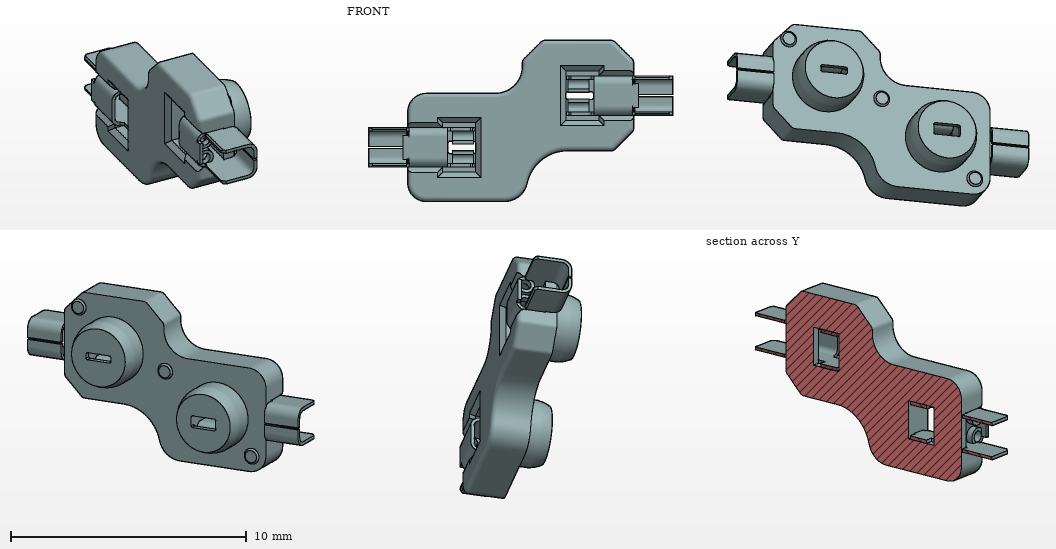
import cadquery as cq
import math


pole_x = 2.5
pole_z = 1.1

body_end_x = 4.8
body_depth = 1.72
front_fillet = 0.2

left_bottom_z = -3.4
left_top_z = 1.2
left_corner_radius = 0.8
left_turn_x = -0.7
left_turn_radius = 1.0

right_bottom_z = -1.25
right_top_z = 3.45
right_side_x = 0.06
right_chamfer = 0.87
right_edge_fillet = 0.25

upper_neck_radius = 1.13
lower_neck_x = 1.97

plug_radius = 1.45
plug_end_y = 3.055
plug_nose_length = 0.52
plug_nose_inset = 0.17
plug_nose_bulge = 0.03
plug_cap = 0.25

bump_radius = 0.35
bump_height = 0.08
bump_slope = 45
bump_positions = [(-4.12, -2.7), (0.0, 0.49), (4.12, 2.76)]

channel_depth = 1.21
channel_overrun = 1.0
cavity_end_x = -1.91
pocket_start_x = -3.31
pocket_half_width = 1.05
mouth_chamfer = 0.22
bore_start_x = -3.26
aperture_start_x = -3.09
aperture_chamfer = 0.06
left_aperture_half_height = 0.26
right_aperture_half_height = 0.16

sheet = 0.15
contact_half_width = 0.84
contact_front_y = -0.035

barrel_start_x = -6.45
barrel_end_x = -4.84
barrel_front_y = 0.3
barrel_back_y = 1.95
barrel_radius = 0.45
barrel_seam = 0.08
barrel_tip_chamfer = 0.16
barrel_edge_chamfer = 0.07

crimp_radius = 0.39
crimp_start_x = -4.74
crimp_end_x = -3.1
curl_length = 0.3
tongue_start_x = -5.0
tongue_half_width = 0.51

wall_step = 0.13
wall_end_x = -1.94
wall_end_chamfer = 0.1
wall_end_land = 0.1

leaf_start_x = -2.9
leaf_end_x = -2.0
leaf_width = 0.7
leaf_bend_radius = 0.349
leaf_tip_y = 1.9
leaf_bottom_y = 2.7

crimp_center_y = contact_front_y + crimp_radius
crimp_center_z = contact_half_width - crimp_radius
wall_inner_z = contact_half_width - sheet


def block(x_limits, y_limits, z_limits):
    """Box given by its limits along the three axes."""
    size = [high - low for low, high in (x_limits, y_limits, z_limits)]
    corner = (x_limits[0], y_limits[0], z_limits[0])
    return cq.Workplane("XY").box(*size, centered=False).translate(corner)


def to_left_pole(shape):
    return shape.translate((0, 0, -pole_z))


def to_right_pole(shape):
    return shape.rotate((0, 0, 0), (0, 1, 0), 180).translate((0, 0, pole_z))


def both_sides(half):
    """Join a shape with its mirror image across the pole's middle plane."""
    return half.union(half.mirror("XY"))


def left_block():
    """Left half of the outline: rounded block that sweeps into the right half through two necks."""
    turn_z = left_bottom_z + left_turn_radius
    neck_run = lower_neck_x - left_turn_x
    neck_rise = right_bottom_z - turn_z
    neck_radius = (neck_run**2 + neck_rise**2 - left_turn_radius**2) / (2 * (left_turn_radius + neck_rise))
    tangent_angle = math.atan2(neck_rise - neck_radius, neck_run)
    tangent_point = (
        left_turn_x + left_turn_radius * math.cos(tangent_angle),
        turn_z + left_turn_radius * math.sin(tangent_angle),
    )
    left_x = -body_end_x
    upper_neck_x = right_side_x - upper_neck_radius
    return (
        cq.Workplane("XZ")
        .moveTo(left_x + left_corner_radius, left_bottom_z)
        .lineTo(left_turn_x, left_bottom_z)
        .tangentArcPoint(tangent_point, relative=False)
        .tangentArcPoint((lower_neck_x, right_bottom_z), relative=False)
        .lineTo(lower_neck_x, left_top_z + upper_neck_radius)
        .lineTo(right_side_x, left_top_z + upper_neck_radius)
        .radiusArc((upper_neck_x, left_top_z), upper_neck_radius)
        .lineTo(left_x + left_corner_radius, left_top_z)
        .tangentArcPoint((left_x, left_top_z - left_corner_radius), relative=False)
        .lineTo(left_x, left_bottom_z + left_corner_radius)
        .tangentArcPoint((left_x + left_corner_radius, left_bottom_z), relative=False)
        .close()
        .extrude(-body_depth)
    )


def right_block():
    """Right half: a block with three chamfered, lightly rounded corners."""
    block_outline = [
        (right_side_x, right_bottom_z),
        (body_end_x - right_chamfer, right_bottom_z),
        (body_end_x, right_bottom_z + right_chamfer),
        (body_end_x, right_top_z - right_chamfer),
        (body_end_x - right_chamfer, right_top_z),
        (right_side_x + right_chamfer, right_top_z),
        (right_side_x, right_top_z - right_chamfer),
    ]
    solid = cq.Workplane("XZ").polyline(block_outline).close().extrude(-body_depth)
    depth_edges = cq.selectors.ParallelDirSelector(cq.Vector(0, 1, 0))
    inside_edge = cq.selectors.NearestToPointSelector((right_side_x, body_depth / 2, right_bottom_z))
    return solid.edges(depth_edges - inside_edge).fillet(right_edge_fillet)


def plug():
    """Round plug whose nose narrows along a slightly bulging curve."""
    nose_y = plug_end_y - plug_nose_length
    tip_radius = plug_radius - plug_nose_inset
    middle = (plug_radius - plug_nose_inset / 2 + plug_nose_bulge, nose_y + plug_nose_length / 2)
    return (
        cq.Workplane("XY")
        .moveTo(0, channel_depth)
        .lineTo(plug_radius, channel_depth)
        .lineTo(plug_radius, nose_y)
        .threePointArc(middle, (tip_radius, plug_end_y))
        .lineTo(0, plug_end_y)
        .close()
        .revolve(360, (0, 0, 0), (0, 1, 0))
        .translate((-pole_x, 0, 0))
    )


def bump(x, z):
    """Low locating disc with a conical rim."""
    base = cq.Workplane("XZ", origin=(x, body_depth, z)).circle(bump_radius)
    return base.extrude(-bump_height, taper=bump_slope)


def mouth(x_limits, half_width):
    """Front opening with flared rims, narrowing to half_width below the flare."""
    x0, x1 = x_limits
    straight = block(x_limits, (0, channel_depth), (-half_width, half_width))
    flare = (
        cq.Workplane("XZ", origin=((x0 + x1) / 2, 0, 0))
        .rect(x1 - x0 + 2 * mouth_chamfer, 2 * (half_width + mouth_chamfer))
        .workplane(offset=-mouth_chamfer)
        .rect(x1 - x0, 2 * half_width)
        .loft(ruled=True)
    )
    return straight.union(flare)


def cavity(aperture_half_height):
    """Channel for the wire side, wider pocket, and the bore that runs out through the plug's end."""
    channel = mouth((-body_end_x - channel_overrun, cavity_end_x), contact_half_width)
    pocket = mouth((pocket_start_x, cavity_end_x), pocket_half_width)
    bore = block(
        (bore_start_x, cavity_end_x),
        (0, plug_end_y - plug_cap),
        (-contact_half_width, contact_half_width),
    )
    aperture = block(
        (aperture_start_x, cavity_end_x),
        (0, plug_end_y),
        (-aperture_half_height, aperture_half_height),
    )
    aperture = aperture.edges("|Y").chamfer(aperture_chamfer)
    return channel.union(pocket).union(bore).union(aperture)


def make_housing():
    body = left_block().union(right_block())
    body = body.faces("<Y").edges().fillet(front_fillet)
    for to_pole in (to_left_pole, to_right_pole):
        body = body.union(to_pole(plug()))
    for x, z in bump_positions:
        body = body.union(bump(x, z))
    body = body.cut(to_left_pole(cavity(left_aperture_half_height)))
    return body.cut(to_right_pole(cavity(right_aperture_half_height)))


def bent_strip(x_limits, y_limits, z_limits, radius, bend_side):
    """Sheet bent to a U with two round corners on the bend side (">Y" or "<Y")."""
    y0, y1 = y_limits
    z0, z1 = z_limits
    inner_y = (y0, y1 - sheet) if bend_side == ">Y" else (y0 + sheet, y1)
    inner_z = (z0 + sheet, z1 - sheet)
    corners = f"|X and {bend_side}"
    outer = block(x_limits, y_limits, z_limits).edges(corners).fillet(radius)
    inner = block(x_limits, inner_y, inner_z).edges(corners).fillet(radius - sheet)
    return outer.cut(inner)


def side_wall():
    """Flat side from the wire barrel, with its outer edge broken, to the step beyond the crimp."""
    front_y = crimp_center_y
    step_y = front_y + wall_step
    end_y = step_y + wall_end_chamfer
    end_chamfer_x = wall_end_x - wall_end_land
    wall_outline = [
        (barrel_start_x, barrel_back_y - barrel_radius),
        (barrel_start_x, barrel_front_y + barrel_tip_chamfer),
        (barrel_start_x + barrel_tip_chamfer, barrel_front_y),
        (barrel_end_x, barrel_front_y),
        (barrel_end_x, front_y),
        (crimp_end_x, front_y),
        (crimp_end_x + wall_step, step_y),
        (end_chamfer_x - wall_end_chamfer, step_y),
        (end_chamfer_x, end_y),
        (wall_end_x, end_y),
        (wall_end_x, channel_depth),
        (barrel_end_x, channel_depth),
        (barrel_end_x, barrel_back_y - barrel_radius),
    ]
    wall = cq.Workplane("XY", origin=(0, 0, wall_inner_z)).polyline(wall_outline).close().extrude(sheet)
    barrel_middle_x = (barrel_start_x + barrel_end_x) / 2
    barrel_edge = cq.selectors.NearestToPointSelector((barrel_middle_x, barrel_front_y, contact_half_width))
    return wall.edges(barrel_edge).chamfer(barrel_edge_chamfer)


def wire_barrel():
    """Back of the wire barrel, with the seam where the sheet edges meet."""
    width = (-contact_half_width, contact_half_width)
    x_limits = (barrel_start_x, barrel_end_x)
    depth = (barrel_back_y - 2 * barrel_radius, barrel_back_y)
    back = bent_strip(x_limits, depth, width, barrel_radius, ">Y")
    return back.cut(block(x_limits, depth, (-barrel_seam / 2, barrel_seam / 2)))


def crimp():
    """Front wall that wraps round to both sides, with a tongue toward the wire."""
    width = (-contact_half_width, contact_half_width)
    x_limits = (crimp_start_x, crimp_end_x)
    wrap = bent_strip(x_limits, (contact_front_y, channel_depth), width, crimp_radius, "<Y")
    tongue = block(
        (tongue_start_x, crimp_start_x),
        (contact_front_y, contact_front_y + sheet),
        (-tongue_half_width, tongue_half_width),
    )
    return wrap.union(tongue)


def curl():
    """Sheet edge rolled on from the crimp's round corner to complete a ring at the wire end."""
    center = (crimp_start_x, crimp_center_y, crimp_center_z)
    ring = cq.Workplane("YZ", origin=center).circle(crimp_radius).circle(crimp_radius - sheet)
    round_corner = block(
        (crimp_start_x, crimp_end_x),
        (contact_front_y, crimp_center_y),
        (crimp_center_z, contact_half_width),
    )
    return ring.extrude(curl_length).cut(round_corner)


def spring_leaf():
    """Leaf that runs down into the bore and turns back up to a free tip."""
    x_limits = (leaf_start_x, leaf_end_x)
    tip_z = contact_half_width - leaf_width
    y_limits = (channel_depth, leaf_bottom_y)
    leaf = bent_strip(x_limits, y_limits, (tip_z, contact_half_width), leaf_bend_radius, ">Y")
    return leaf.cut(block(x_limits, (channel_depth, leaf_tip_y), (tip_z, wall_inner_z)))


def make_contact():
    sides = both_sides(side_wall().union(curl()).union(spring_leaf()))
    return sides.union(wire_barrel()).union(crimp())


housing = make_housing()
contacts = [to_pole(make_contact()) for to_pole in (to_left_pole, to_right_pole)]

result = cq.Compound.makeCompound([housing.val(), *[contact.val() for contact in contacts]])